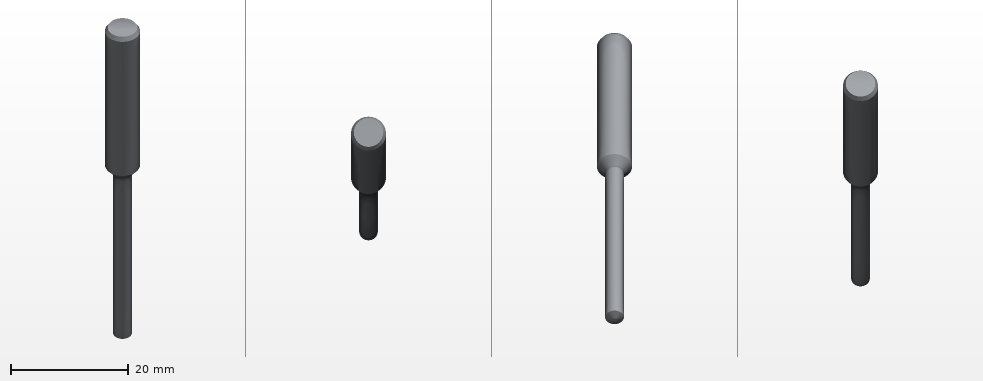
import cadquery as cq
import math

overall_length = 68.0
shank_diameter = 6.0
shank_length = 31.95
chamfer_height = 0.75
chamfer_width = 0.5
shoulder_height = 1.7
drill_diameter = 3.2
point_angle = 130.0

shank_radius = shank_diameter / 2
drill_radius = drill_diameter / 2
top_z = overall_length / 2
tip_z = -overall_length / 2
joint_z = top_z - shank_length
point_height = drill_radius / math.tan(math.radians(point_angle / 2))


def revolved(profile):
    """Turn a (radius, height) outline into a solid about the Z axis."""
    return cq.Workplane("XZ").polyline(profile).close().revolve(360, (0, 0), (0, 1))


def make_shank():
    """Gripping shank, chamfered on top and tapering down to the drill."""
    return revolved([
        (0, joint_z),
        (drill_radius, joint_z),
        (shank_radius, joint_z + shoulder_height),
        (shank_radius, top_z - chamfer_height),
        (shank_radius - chamfer_width, top_z),
        (0, top_z),
    ])


def make_drill():
    """Slender cutting part with a conical point, butted against the shank."""
    return revolved([
        (0, tip_z),
        (drill_radius, tip_z + point_height),
        (drill_radius, joint_z),
        (0, joint_z),
    ])


shank = make_shank()
drill = make_drill()

result = cq.Compound.makeCompound([shank.val(), drill.val()])